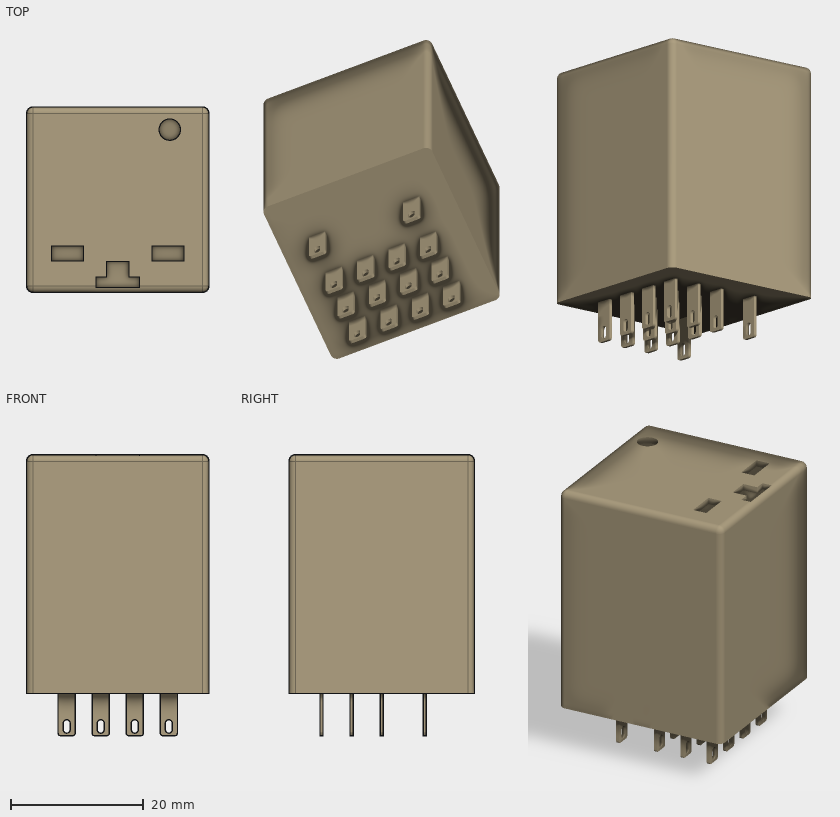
import cadquery as cq

body_width = 27.5
body_depth = 28.0
overall_height = 42.4
tab_length = 6.35
body_height = overall_height - tab_length
edge_radius = 1.0

pocket_depth = 1.0
round_pocket_diameter = 3.22
round_pocket_center = (7.85, 10.55)
side_slot_size = (4.85, 2.25)
side_slot_offset_x = 7.55
side_slot_y = -8.15
tee_back_y = -9.3
tee_shoulder_y = -11.65
tee_front_y = -13.25
tee_bar_width = 6.6
tee_stem_width = 3.35

tab_width = 2.65
tab_thickness = 0.5
tab_corner_radius = 0.42
eyelet_width = 1.0
eyelet_height = 2.0
eyelet_bottom_margin = 0.42
column_count = 4
column_pitch = 5.15
contact_columns = [(i - (column_count - 1) / 2) * column_pitch for i in range(column_count)]
coil_columns = [contact_columns[0], contact_columns[-1]]
contact_row_count = 3
contact_row_pitch = 4.55
contact_rows = [-i * contact_row_pitch for i in range(contact_row_count)]
coil_row_y = 6.5


def housing():
    """Box rounded on the vertical and top edges, square at the bottom."""
    box = cq.Workplane("XY").box(body_width, body_depth, body_height, centered=(True, True, False))
    return box.edges("|Z or >Z").fillet(edge_radius)


def pocket_plane():
    """Plane of the pocket floors, below the top face."""
    return cq.Workplane("XY", origin=(0, 0, body_height - pocket_depth))


def tee_pocket():
    """T-shaped pocket whose bar lies along the front edge."""
    bar_depth = tee_shoulder_y - tee_front_y
    stem_depth = tee_back_y - tee_front_y
    bar = pocket_plane().center(0, tee_front_y + bar_depth / 2).rect(tee_bar_width, bar_depth)
    stem = pocket_plane().center(0, tee_front_y + stem_depth / 2).rect(tee_stem_width, stem_depth)
    return bar.extrude(pocket_depth).union(stem.extrude(pocket_depth))


def side_slots():
    """Pair of rectangular pockets either side of the T."""
    centers = [(side * side_slot_offset_x, side_slot_y) for side in (-1, 1)]
    return pocket_plane().pushPoints(centers).rect(*side_slot_size).extrude(pocket_depth)


def round_pocket():
    """Circular pocket near the back right corner."""
    outline = pocket_plane().center(*round_pocket_center).circle(round_pocket_diameter / 2)
    return outline.extrude(pocket_depth)


def solder_tab(x, y):
    """Flat tab hanging below the housing, with rounded tip corners and an oblong eyelet."""
    blade = (
        cq.Workplane("XY", origin=(x, y, -tab_length))
        .box(tab_width, tab_thickness, tab_length, centered=(True, True, False))
        .edges("|Y and <Z")
        .fillet(tab_corner_radius)
    )
    eyelet_z = -tab_length + eyelet_bottom_margin + eyelet_height / 2
    eyelet = (
        cq.Workplane("XZ", origin=(x, y, eyelet_z))
        .slot2D(eyelet_height, eyelet_width, 90)
        .extrude(tab_thickness, both=True)
    )
    return blade.cut(eyelet)


result = housing().cut(tee_pocket()).cut(side_slots()).cut(round_pocket())

tab_positions = [(x, y) for y in contact_rows for x in contact_columns]
tab_positions += [(x, coil_row_y) for x in coil_columns]
for tab_x, tab_y in tab_positions:
    result = result.union(solder_tab(tab_x, tab_y))